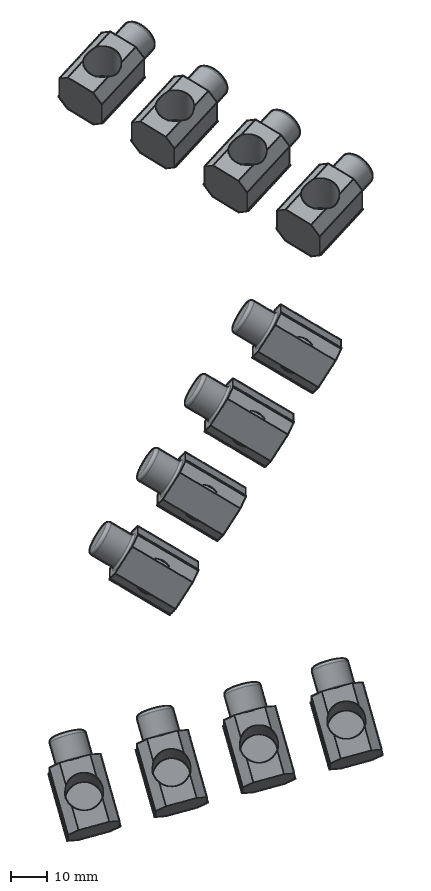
import cadquery as cq

BLOCK_COUNT = 4
OVERALL_LENGTH = 90.4

BASE_WIDTH = 15.4
UPPER_WIDTH = 14.7
BLOCK_HEIGHT = 14.7
BLOCK_LENGTH = 19.6
UPPER_BEVEL = 3.0
LOWER_BEVEL = 3.2
PITCH = (OVERALL_LENGTH - BASE_WIDTH) / (BLOCK_COUNT - 1)

STUD_DIAMETER = 10.5
STUD_LENGTH = 8.4
STUD_AXIS_HEIGHT = BASE_WIDTH / 2
TIP_ROUND = 1.1
FOOT_FLARE = 0.7

HOLE_DIAMETER = 10.6
HOLE_FROM_BACK = 9.6
HOLE_FLOOR_HEIGHT = 0.7


def make_block_body():
    """Block extruded along +Y, centred on X, resting on Z = 0."""
    base_half = BASE_WIDTH / 2
    upper_half = UPPER_WIDTH / 2
    right_side = [
        (base_half - LOWER_BEVEL, 0),
        (base_half, LOWER_BEVEL),
        (upper_half, LOWER_BEVEL),
        (upper_half, BLOCK_HEIGHT - UPPER_BEVEL),
        (upper_half - UPPER_BEVEL, BLOCK_HEIGHT),
    ]
    left_side = [(-x, z) for x, z in reversed(right_side)]
    return cq.Workplane("XZ").polyline(right_side + left_side).close().extrude(-BLOCK_LENGTH)


def make_stud():
    """Stud turned about the Y axis, with a rounded tip and a concave flared foot."""
    radius = STUD_DIAMETER / 2
    return (
        cq.Workplane("XY")
        .lineTo(radius + FOOT_FLARE, 0)
        .radiusArc((radius, FOOT_FLARE), FOOT_FLARE)
        .lineTo(radius, STUD_LENGTH - TIP_ROUND)
        .radiusArc((radius - TIP_ROUND, STUD_LENGTH), -TIP_ROUND)
        .lineTo(0, STUD_LENGTH)
        .close()
        .revolve(360, (0, 0), (0, 1))
        .translate((0, BLOCK_LENGTH, STUD_AXIS_HEIGHT))
    )


def make_hole():
    """Cutter for the flat-bottomed vertical hole."""
    return (
        cq.Workplane("XY", origin=(0, BLOCK_LENGTH - HOLE_FROM_BACK, HOLE_FLOOR_HEIGHT))
        .circle(HOLE_DIAMETER / 2)
        .extrude(BLOCK_HEIGHT - HOLE_FLOOR_HEIGHT)
    )


def make_studded_block(x_center):
    """One complete block with its stud and hole."""
    block = make_block_body().union(make_stud()).cut(make_hole())
    return block.translate((x_center, 0, 0))


first_center = -PITCH * (BLOCK_COUNT - 1) / 2
studded_blocks = [make_studded_block(first_center + i * PITCH) for i in range(BLOCK_COUNT)]

result = cq.Compound.makeCompound([block.val() for block in studded_blocks])